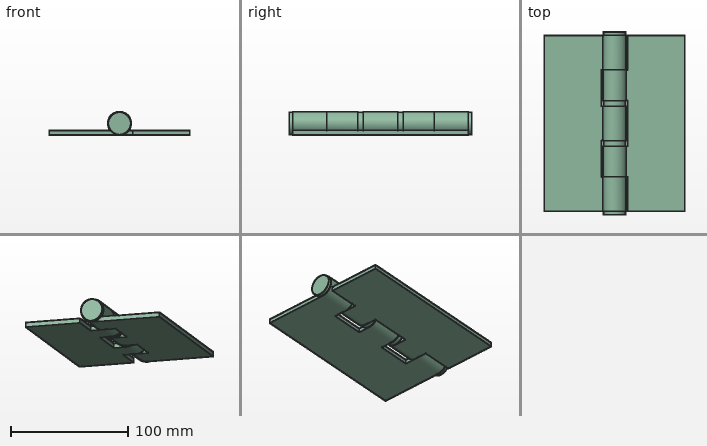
import cadquery as cq

PIN_LENGTH = 156.0
HINGE_WIDTH = 120.0
LEAF_LENGTH = 150.0
LEAF_THICKNESS = 4.0
KNUCKLE_DIAMETER = 20.0
HEAD_DIAMETER = 19.0
SHANK_DIAMETER = 10.0
WASHER_DIAMETER = HEAD_DIAMETER
WASHER_THICKNESS = 4.7
LEFT_KNUCKLE_LENGTH = 29.3
NOTCH_DEPTH = 11.2

AXIS_HEIGHT = KNUCKLE_DIAMETER / 2
LEAF_END = LEAF_LENGTH / 2
PIN_END = PIN_LENGTH / 2
CENTRE_KNUCKLE_END = LEFT_KNUCKLE_LENGTH / 2
WASHER_END = CENTRE_KNUCKLE_END + WASHER_THICKNESS
OUTER_KNUCKLE_START = LEAF_END - LEFT_KNUCKLE_LENGTH

LEFT_KNUCKLES = [
    (-LEAF_END, -OUTER_KNUCKLE_START),
    (-CENTRE_KNUCKLE_END, CENTRE_KNUCKLE_END),
    (OUTER_KNUCKLE_START, LEAF_END),
]
RIGHT_KNUCKLES = [
    (-OUTER_KNUCKLE_START, -WASHER_END),
    (WASHER_END, OUTER_KNUCKLE_START),
]
WASHERS = [
    (-WASHER_END, -CENTRE_KNUCKLE_END),
    (CENTRE_KNUCKLE_END, WASHER_END),
]


def make_cylinder(diameter, y_start, y_end):
    """Solid cylinder on the pin axis between two Y positions."""
    return (
        cq.Workplane("XZ", origin=(0, y_start, AXIS_HEIGHT))
        .circle(diameter / 2)
        .extrude(y_start - y_end)
    )


def make_slab(x_start, x_end, y_start, y_end):
    """Flat piece of leaf plate resting on Z = 0."""
    return cq.Workplane("XY").box(
        x_end - x_start, y_end - y_start, LEAF_THICKNESS, centered=False
    ).translate((x_start, y_start, 0))


def make_leaf(side, knuckle_ranges):
    """Leaf on the -X (side = -1) or +X (side = 1) side, with its bored knuckles."""
    inner_x, outer_x = sorted([side * NOTCH_DEPTH, side * HINGE_WIDTH / 2])
    leaf = make_slab(inner_x, outer_x, -LEAF_END, LEAF_END)
    tab_start, tab_end = sorted([0, side * NOTCH_DEPTH])
    for y_start, y_end in knuckle_ranges:
        tab = make_slab(tab_start, tab_end, y_start, y_end)
        leaf = leaf.union(tab).union(make_cylinder(KNUCKLE_DIAMETER, y_start, y_end))
    return leaf.cut(make_cylinder(SHANK_DIAMETER, -LEAF_END, LEAF_END))


def make_pin():
    """Shank through all knuckles and washers, with a head against each end knuckle."""
    pin = make_cylinder(SHANK_DIAMETER, -PIN_END, PIN_END)
    for y_start, y_end in [(-PIN_END, -LEAF_END), (LEAF_END, PIN_END)]:
        pin = pin.union(make_cylinder(HEAD_DIAMETER, y_start, y_end))
    return pin


def make_washer(y_start, y_end):
    """Spacer ring on the shank between two knuckles."""
    ring = make_cylinder(WASHER_DIAMETER, y_start, y_end)
    return ring.cut(make_cylinder(SHANK_DIAMETER, y_start, y_end))


left_leaf = make_leaf(-1, LEFT_KNUCKLES)
right_leaf = make_leaf(1, RIGHT_KNUCKLES)
pin = make_pin()
washers = [make_washer(y_start, y_end) for y_start, y_end in WASHERS]

result = cq.Compound.makeCompound(
    [left_leaf.val(), right_leaf.val(), pin.val(), *[washer.val() for washer in washers]]
)